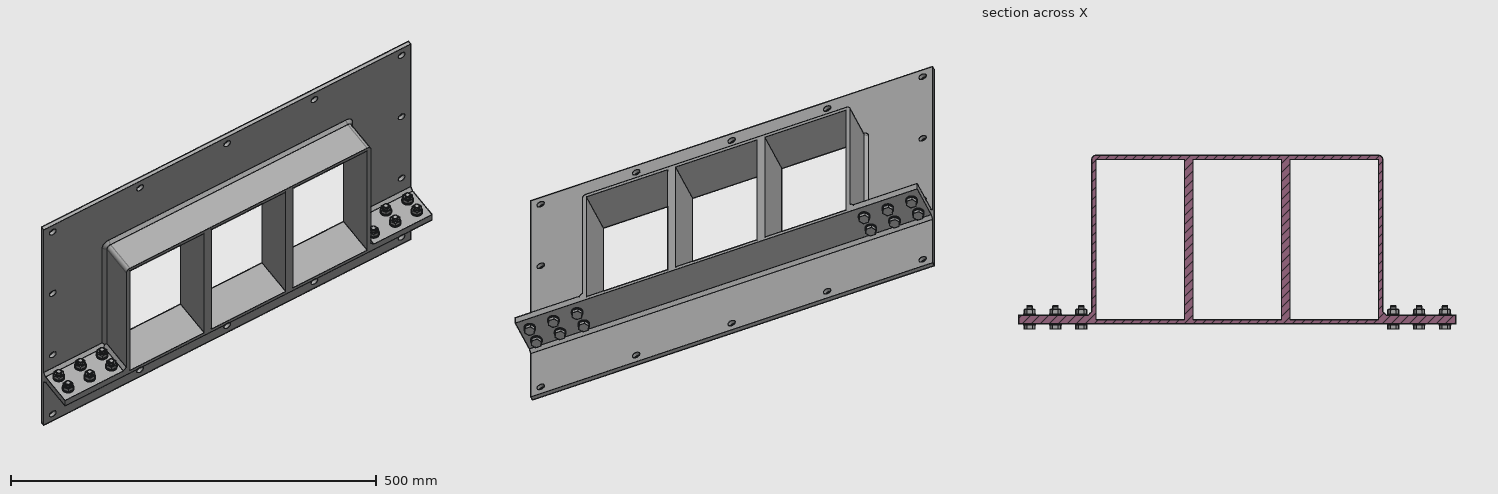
import cadquery as cq
import math

LENGTH = 597.5
HEIGHT = 430.0
DEPTH = 60.0
SHEET = 6.0
SIDE_BORDER = 100.0
TOP_BORDER = 100.0
BOTTOM_BORDER = 106.0
WELD_LEG = 5.0

FRAME_CORNER_RADIUS = 6.0
BAR_COUNT = 2
BAR_WIDTH = 12.0

HOLE_DIAMETER = 11.0
HOLE_MARGIN = 15.0
HOLE_COLUMNS = 5
HOLE_ROW_PITCH = 135.0

WASHER_DIAMETER = 16.0
WASHER_THICKNESS = 2.0
HEX_ACROSS_FLATS = 13.0
NUT_HEIGHT = 6.5
NUT_FACE_DIAMETER = 11.5
NUT_CHAMFER_ANGLE = 30
HEAD_HEIGHT = 5.5
BOLT_DIAMETER = 8.0
BOLT_TIP_DIAMETER = 6.5
BOLT_TIP_CHAMFER_HEIGHT = 2.0
BOLT_PROTRUSION = 5.0
BOLT_X = (21.0, 44.0)
BOLT_END_MARGIN = 15.0
BOLT_PITCH_Y = 35.0
BOLT_ROWS = 3

FRAME_WIDTH = LENGTH - 2 * SIDE_BORDER
FRAME_HEIGHT = HEIGHT - BOTTOM_BORDER - TOP_BORDER
FRAME_TOP = BOTTOM_BORDER + FRAME_HEIGHT
INNER_WIDTH = FRAME_WIDTH - 2 * SHEET
TAB_TOP = BOTTOM_BORDER + SHEET
FLANGE_BOTTOM = BOTTOM_BORDER - SHEET


def block(x_range, y_range, z_range):
    """Box spanning the given (low, high) ranges."""
    size = [high - low for low, high in (x_range, y_range, z_range)]
    corner = (x_range[0], y_range[0], z_range[0])
    return cq.Workplane("XY").box(*size, centered=False).translate(corner)


def frame_outline(x, margin=0.0):
    """Outline of the frame at depth x, grown outward by margin, with rounded top corners."""
    half = FRAME_WIDTH / 2 + margin
    bottom = BOTTOM_BORDER - margin
    top = FRAME_TOP + margin
    radius = FRAME_CORNER_RADIUS + margin
    return (
        cq.Workplane("YZ", origin=(x, 0, 0))
        .moveTo(-half, bottom)
        .lineTo(half, bottom)
        .lineTo(half, top - radius)
        .radiusArc((half - radius, top), -radius)
        .lineTo(radius - half, top)
        .radiusArc((-half, top - radius), -radius)
        .close()
    )


def make_panel():
    """Flat panel with the frame opening and the mounting holes around its edge."""
    panel = block((0, SHEET), (-LENGTH / 2, LENGTH / 2), (0, HEIGHT))
    opening = block(
        (0, SHEET),
        (-FRAME_WIDTH / 2, FRAME_WIDTH / 2),
        (BOTTOM_BORDER, FRAME_TOP),
    )
    column_pitch = (LENGTH - 2 * HOLE_MARGIN) / (HOLE_COLUMNS - 1)
    columns = [-LENGTH / 2 + HOLE_MARGIN + i * column_pitch for i in range(HOLE_COLUMNS)]
    top_row = HEIGHT - HOLE_MARGIN
    points = [(y, z) for y in columns for z in (HOLE_MARGIN, top_row)]
    for row in (1, 2):
        points += [(y, top_row - row * HOLE_ROW_PITCH) for y in (columns[0], columns[-1])]
    holes = cq.Workplane("YZ").pushPoints(points).circle(HOLE_DIAMETER / 2).extrude(SHEET)
    return panel.cut(opening).cut(holes)


def make_frame():
    """Frame of top and side walls, split into equal bays by upright bars."""
    frame = frame_outline(0).extrude(DEPTH)
    bay = (INNER_WIDTH - BAR_COUNT * BAR_WIDTH) / (BAR_COUNT + 1)
    for i in range(BAR_COUNT + 1):
        start = -INNER_WIDTH / 2 + i * (bay + BAR_WIDTH)
        frame = frame.cut(
            block((0, DEPTH), (start, start + bay), (BOTTOM_BORDER, FRAME_TOP - SHEET))
        )
    return frame


def make_frame_weld():
    """45 degree bead around the outside of the frame, on the back of the panel."""
    bead = frame_outline(SHEET, WELD_LEG).extrude(WELD_LEG, taper=45)
    inside = frame_outline(SHEET).extrude(WELD_LEG)
    return bead.cut(inside)


def weld_along_y(z, rise, y_start, y_end):
    """Triangular bead from a level face at height z to the panel; negative rise puts it below."""
    return (
        cq.Workplane("XZ", origin=(0, y_end, 0))
        .polyline([(SHEET, z), (SHEET + WELD_LEG, z), (SHEET, z + rise)])
        .close()
        .extrude(y_end - y_start)
    )


def make_bottom_flange():
    """Full-length flange behind the panel, welded on its underside."""
    ends = (-LENGTH / 2, LENGTH / 2)
    flange = block((SHEET, DEPTH), ends, (FLANGE_BOTTOM, BOTTOM_BORDER))
    return flange.union(weld_along_y(FLANGE_BOTTOM, -WELD_LEG, *ends))


def hexagon(base, height):
    """Upright hexagonal prism with a pair of flats facing -X and +X."""
    base_plane = cq.Workplane("XY", origin=(0, 0, base))
    return base_plane.polygon(6, HEX_ACROSS_FLATS, circumscribed=True).extrude(height)


def make_nut(base):
    """Hex nut whose upper corners are trimmed by a cone around the round top face."""
    top = base + NUT_HEIGHT
    face_radius = NUT_FACE_DIAMETER / 2
    rim_radius = face_radius + NUT_HEIGHT / math.tan(math.radians(NUT_CHAMFER_ANGLE))
    cone = (
        cq.Workplane("XZ")
        .polyline([(0, base), (rim_radius, base), (face_radius, top), (0, top)])
        .close()
        .revolve(360, (0, 0, 0), (0, 1, 0))
    )
    return hexagon(base, NUT_HEIGHT).intersect(cone)


def make_bolt():
    """Bolt stack centred on the Z axis: head, solid washer column, nut and chamfered tip."""
    nut_base = TAB_TOP + WASHER_THICKNESS
    nut_top = nut_base + NUT_HEIGHT
    head_top = FLANGE_BOTTOM - WASHER_THICKNESS
    tip_chamfer = (BOLT_DIAMETER - BOLT_TIP_DIAMETER) / 2

    washers = (
        cq.Workplane("XY", origin=(0, 0, head_top))
        .circle(WASHER_DIAMETER / 2)
        .extrude(nut_base - head_top)
    )
    tip = (
        cq.Workplane("XY", origin=(0, 0, nut_top))
        .circle(BOLT_DIAMETER / 2)
        .extrude(BOLT_PROTRUSION)
        .faces(">Z")
        .chamfer(BOLT_TIP_CHAMFER_HEIGHT, tip_chamfer)
    )
    head = hexagon(head_top - HEAD_HEIGHT, HEAD_HEIGHT)
    return washers.union(make_nut(nut_base)).union(head).union(tip)


def make_side_tab():
    """Bolted tab on the -Y side of the frame, with its welds to the panel and the frame wall."""
    outer_end = -LENGTH / 2
    wall = -FRAME_WIDTH / 2
    tab = block((SHEET, DEPTH), (outer_end, wall), (BOTTOM_BORDER, TAB_TOP))
    tab = tab.union(weld_along_y(TAB_TOP, WELD_LEG, outer_end, wall))
    wall_weld = (
        cq.Workplane("YZ", origin=(SHEET, 0, 0))
        .polyline([(wall, TAB_TOP), (wall - WELD_LEG, TAB_TOP), (wall, TAB_TOP + WELD_LEG)])
        .close()
        .extrude(DEPTH - SHEET)
    )
    tab = tab.union(wall_weld)
    bolt = make_bolt()
    for x in BOLT_X:
        for row in range(BOLT_ROWS):
            y = outer_end + BOLT_END_MARGIN + row * BOLT_PITCH_Y
            tab = tab.union(bolt.translate((x, y, 0)))
    return tab


side_tab = make_side_tab()
result = (
    make_panel()
    .union(make_frame())
    .union(make_frame_weld())
    .union(make_bottom_flange())
    .union(side_tab)
    .union(side_tab.mirror("XZ"))
)